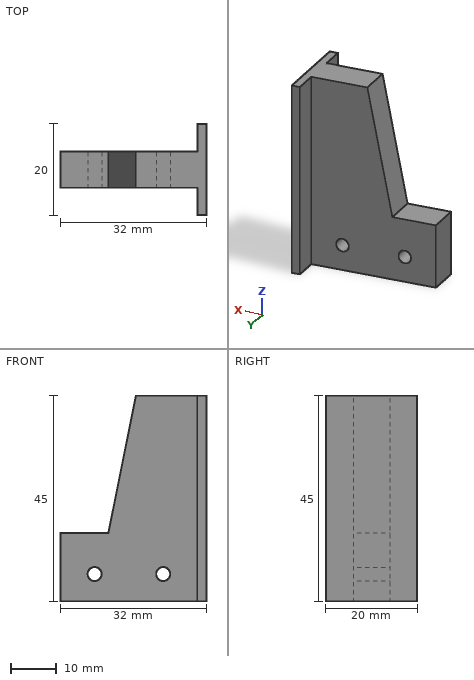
import cadquery as cq

height = 45.0
length = 32.0
flange_width = 20.0

flange_thickness = 2.0
web_thickness = 8.0
web_length = length - flange_thickness

foot_height = height / 3
foot_length = 10.5
top_start = 16.5

hole_diameter = 3.0
hole_height = 6.0
hole_spacing = web_length / 2


def make_web():
    """Upright web in the XZ plane, centred on Y = 0."""
    outline = [
        (0, 0),
        (web_length, 0),
        (web_length, height),
        (top_start, height),
        (foot_length, foot_height),
        (0, foot_height),
    ]
    return cq.Workplane("XZ").polyline(outline).close().extrude(web_thickness / 2, both=True)


def make_flange():
    """Flat plate across the +X end of the web."""
    return cq.Workplane("XY").box(
        flange_thickness, flange_width, height, centered=(False, True, False)
    ).translate((web_length, 0, 0))


def make_holes():
    """Pair of cylinders running through the web along Y."""
    middle = web_length / 2
    centres = [(middle + side * hole_spacing / 2, hole_height) for side in (-1, 1)]
    return (
        cq.Workplane("XZ")
        .pushPoints(centres)
        .circle(hole_diameter / 2)
        .extrude(web_thickness, both=True)
    )


result = make_web().union(make_flange()).cut(make_holes())